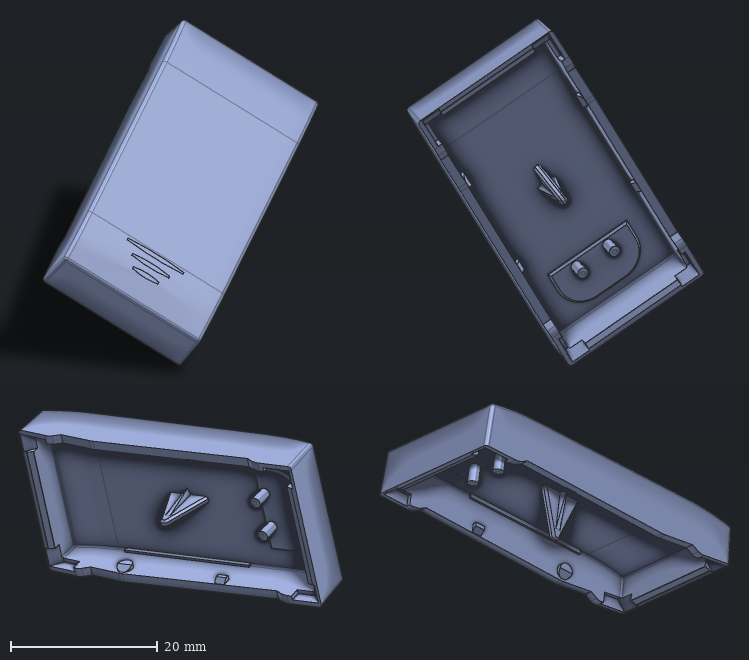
import cadquery as cq
import math

TILT_Y = 33.3
TILT_X = 20

TOP_Z = 4.5
FLAT_HALF_LENGTH = 13.7
ROOF_RADIUS = 38.7
ROOF_THICKNESS = 1.75
END_HALF_LENGTH = 22.3
END_DRAFT = 2.8
SIDE_HALF_WIDTH = 11.28
SIDE_DRAFT = 1.4
WALL_SIDE = 1.3
WALL_END = 1.55
OUTER_FILLET = 0.5
INNER_FILLET = 0.3
CEILING_Z = TOP_Z - ROOF_THICKNESS

RIM_Z = -3.35
REAR_RIM_Z = -2.35
REAR_RIM_SLOPE = 0.13
REAR_DIP_START = (17.65, -2.95)
REAR_DIP_BOTTOM = (17.1, -3.0)
REAR_DIP_END = (16.45, -2.9)
REAR_CREST = (15.35, -2.3)
MIDDLE_BEND_START = (10.47, -2.93)
MIDDLE_BEND_CENTRE = (10.15, -2.95)
MIDDLE_BEND_END = (9.8, -2.95)
FRONT_CREST = (-14.85, -2.55)
FRONT_BEND_START = (-15.8, -3.05)
FRONT_BEND_CENTRE = (-16.35, -3.25)
FRONT_BEND_END_Y = -17

POCKET_DEPTH = 1.65
REAR_POCKET_DEPTH = 1.35
POCKET_START = 17.7
POCKET_KNEE = 20.5
POCKET_TOE = 21.9
REAR_POCKET_TOE = 22.1
POCKET_INNER_X = 7.75
POCKET_OUTER_X = 10.55
RIM_CHAMFER_START = 20.75
RIM_CHAMFER_END = 21.6
RIM_CHAMFER_HEIGHT = 0.3

LEDGE_FRONT_Y = -7.7
LEDGE_REAR_Y = 12.35
LEDGE_HEIGHT = 0.6
LEDGE_WIDTH = 0.45

BUMP_HEIGHT = 0.65
ROUND_BUMP_Y = 10.15
ROUND_BUMP_Z = -1.55
ROUND_BUMP_DIAMETER = 2.2
BLOCK_BUMP_Y = -5.6
BLOCK_BUMP_WIDTH = 1.55
BLOCK_BUMP_TOP_Z = -1.27
BLOCK_BUMP_CREASE_Z = -1.85
BUMP_FOOT_Z = -2.65

BLADE_Y = 0.15
BLADE_HALF_WIDTH = 3.2
BLADE_HALF_THICKNESS = 0.55
BLADE_TIP_Z = -4.5
BLADE_TIP_HALF_WIDTH = 0.75
BLADE_CHAMFER = 0.35
RIB_WIDTH = 0.75
RIB_CREST_WIDTH = 0.15
RIB_HEIGHT = 0.95
RIB_TIP_Z = -2.93

GUIDE_FRONT_Y = -18.95
GUIDE_REAR_Y = -11.75
GUIDE_HALF_WIDTH = 6.6
GUIDE_CORNER = 4.25
GUIDE_THICKNESS = 0.45
GUIDE_CHAMFER = 0.35
PIN_DIAMETER = 1.5
PIN_Y = -12.97
PIN_X = 2.65
PIN_TIP_Z = -0.5
PIN_TAPER_LENGTH = 0.42
PIN_TAPER = 0.1
LENS_FIRST_Y = -14.3
LENS_PITCH = 1.7
LENS_LENGTHS = [9.05, 6.0, 4.1]
LENS_WIDTH = 0.75
LENS_END_WIDTH = 0.3

FULL_SPAN = 47.2
CLEARANCE = 0.45
CAVITY_FLOOR_Z = RIM_Z - CLEARANCE


def end_y(z, rim_half_length):
    """Length position at height z of a drafted end wall that starts at the rim."""
    return rim_half_length - (z - RIM_Z) * math.tan(math.radians(END_DRAFT))


def roof_arc(radius, flat_z, rim_half_length):
    """Middle and end points of the arc by which the roof falls from its flat part to an end wall."""
    last_y = end_y(flat_z, rim_half_length)
    middle_y = (FLAT_HALF_LENGTH + last_y) / 2

    def point(y):
        run = y - FLAT_HALF_LENGTH
        return (y, flat_z - radius + math.sqrt(radius**2 - run**2))

    return point(middle_y), point(last_y)


def across_width(profile, width=FULL_SPAN):
    """Close a length-height profile and extrude it symmetrically across the width."""
    return profile.close().extrude(width / 2, both=True)


def side_limits(rim_half_width, bottom_z):
    """Long prism with drafted sides; the half width applies at the rim."""
    top_z = TOP_Z + CLEARANCE
    lean = math.tan(math.radians(SIDE_DRAFT))
    bottom_x = rim_half_width - (bottom_z - RIM_Z) * lean
    top_x = rim_half_width - (top_z - RIM_Z) * lean
    return (
        cq.Workplane("XZ")
        .polyline([(-bottom_x, bottom_z), (bottom_x, bottom_z), (top_x, top_z), (-top_x, top_z)])
        .close()
        .extrude(FULL_SPAN, both=True)
    )


def round_wall_edges(block, radius):
    """Fillet all edges of the two side walls and two end walls except those at the bottom."""
    walls = block.faces("<X or >X or <Y or >Y")
    return block.newObject(walls.edges("not(<Z)").vals()).fillet(radius)


def outer_block():
    """Outer shape of the housing with a level rim."""
    middle, end = roof_arc(ROOF_RADIUS, TOP_Z, END_HALF_LENGTH)
    profile = (
        cq.Workplane("YZ")
        .moveTo(-FLAT_HALF_LENGTH, TOP_Z)
        .lineTo(FLAT_HALF_LENGTH, TOP_Z)
        .threePointArc(middle, end)
        .lineTo(END_HALF_LENGTH, RIM_Z)
        .lineTo(-END_HALF_LENGTH, RIM_Z)
        .lineTo(-end[0], end[1])
        .threePointArc((-middle[0], middle[1]), (-FLAT_HALF_LENGTH, TOP_Z))
    )
    solid_block = across_width(profile).intersect(side_limits(SIDE_HALF_WIDTH, RIM_Z))
    return round_wall_edges(solid_block, OUTER_FILLET)


def cavity():
    """Hollow of the housing: flat ceiling at the front, curved down at the rear."""
    inner_length = END_HALF_LENGTH - WALL_END
    middle, end = roof_arc(ROOF_RADIUS - ROOF_THICKNESS, CEILING_Z, inner_length)
    profile = (
        cq.Workplane("YZ")
        .moveTo(-end_y(CEILING_Z, inner_length), CEILING_Z)
        .lineTo(FLAT_HALF_LENGTH, CEILING_Z)
        .threePointArc(middle, end)
        .lineTo(end_y(CAVITY_FLOOR_Z, inner_length), CAVITY_FLOOR_Z)
        .lineTo(-end_y(CAVITY_FLOOR_Z, inner_length), CAVITY_FLOOR_Z)
    )
    hollow = across_width(profile).intersect(side_limits(SIDE_HALF_WIDTH - WALL_SIDE, CAVITY_FLOOR_Z))
    return round_wall_edges(hollow, INNER_FILLET)


def rim_waste():
    """Material below the wavy rim of the side walls."""
    profile = (
        cq.Workplane("YZ")
        .moveTo(FULL_SPAN, REAR_RIM_Z + (FULL_SPAN - END_HALF_LENGTH) * REAR_RIM_SLOPE)
        .lineTo(*REAR_DIP_START)
        .threePointArc(REAR_DIP_BOTTOM, REAR_DIP_END)
        .lineTo(*REAR_CREST)
        .lineTo(*MIDDLE_BEND_START)
        .threePointArc(MIDDLE_BEND_CENTRE, MIDDLE_BEND_END)
        .lineTo(*FRONT_CREST)
        .lineTo(*FRONT_BEND_START)
        .threePointArc(FRONT_BEND_CENTRE, (FRONT_BEND_END_Y, RIM_Z))
        .lineTo(FRONT_BEND_END_Y, -FULL_SPAN)
        .lineTo(FULL_SPAN, -FULL_SPAN)
    )
    return across_width(profile)


def corner_pockets():
    """Recesses at the four inner corners of the rim, each with a sloped floor at the end wall."""
    pockets = cq.Workplane()
    front = (-1, RIM_Z, 0, POCKET_DEPTH, POCKET_TOE)
    rear = (1, REAR_RIM_Z, REAR_RIM_SLOPE, REAR_POCKET_DEPTH, REAR_POCKET_TOE)
    for end, rim_z, slope, depth, toe in (front, rear):
        step_z = rim_z + depth
        profile = cq.Workplane("YZ").polyline([
            (end * POCKET_START, CAVITY_FLOOR_Z),
            (end * POCKET_START, step_z - (POCKET_KNEE - POCKET_START) * slope),
            (end * POCKET_KNEE, step_z),
            (end * toe, rim_z),
            (end * toe, CAVITY_FLOOR_Z),
        ])
        strip = across_width(profile, 2 * POCKET_OUTER_X)
        gap = cq.Workplane("XY").box(2 * POCKET_INNER_X, FULL_SPAN, FULL_SPAN)
        pockets = pockets.add(strip.cut(gap).vals())
    return pockets.combine()


def rim_chamfers():
    """Shallow bevels on the inner edge of both end walls."""
    bevels = cq.Workplane()
    for end, rim_z in ((-1, RIM_Z), (1, REAR_RIM_Z)):
        profile = cq.Workplane("YZ").polyline([
            (end * POCKET_START, rim_z + RIM_CHAMFER_HEIGHT),
            (end * RIM_CHAMFER_START, rim_z + RIM_CHAMFER_HEIGHT),
            (end * RIM_CHAMFER_END, rim_z),
            (end * RIM_CHAMFER_END, CAVITY_FLOOR_Z),
            (end * POCKET_START, CAVITY_FLOOR_Z),
        ])
        bevels = bevels.add(across_width(profile, 2 * POCKET_INNER_X).vals())
    return bevels.combine()


def wall_details():
    """Ledges and snap bumps on the two side walls, grown from inside the walls."""
    inner_x = SIDE_HALF_WIDTH - WALL_SIDE
    root_x = inner_x + WALL_SIDE / 2
    face_x = inner_x - BUMP_HEIGHT
    ledge = cq.Workplane("XY").box(
        root_x - inner_x + LEDGE_WIDTH, LEDGE_REAR_Y - LEDGE_FRONT_Y, 2 * LEDGE_HEIGHT
    ).translate(((root_x + inner_x - LEDGE_WIDTH) / 2, (LEDGE_REAR_Y + LEDGE_FRONT_Y) / 2, CEILING_Z))

    def ramp(crease_z, top_z, width, y):
        return (
            cq.Workplane("XZ", origin=(0, y + width / 2, 0))
            .polyline([
                (root_x, top_z),
                (face_x, top_z),
                (face_x, crease_z),
                (inner_x, BUMP_FOOT_Z),
                (root_x, BUMP_FOOT_Z),
            ])
            .close()
            .extrude(width)
        )

    block_bump = ramp(BLOCK_BUMP_CREASE_Z, BLOCK_BUMP_TOP_Z, BLOCK_BUMP_WIDTH, BLOCK_BUMP_Y)
    radius = ROUND_BUMP_DIAMETER / 2
    disc = (
        cq.Workplane("YZ", origin=(face_x, 0, 0))
        .center(ROUND_BUMP_Y, ROUND_BUMP_Z)
        .circle(radius)
        .extrude(root_x - face_x)
    )
    round_ramp = ramp(ROUND_BUMP_Z, ROUND_BUMP_Z + radius, ROUND_BUMP_DIAMETER, ROUND_BUMP_Y)
    round_bump = round_ramp.intersect(disc)
    one_side = ledge.union(block_bump).union(round_bump)
    return one_side.union(one_side.mirror("YZ"))


def blade():
    """Triangular blade hanging from the ceiling, with a tapering rib on each face."""
    root_z = CEILING_Z + ROOF_THICKNESS / 2
    slope = (BLADE_HALF_WIDTH - BLADE_TIP_HALF_WIDTH) / (CEILING_Z - BLADE_TIP_Z)
    root_half_width = BLADE_HALF_WIDTH + slope * (root_z - CEILING_Z)
    profile = (
        cq.Workplane("YZ", origin=(0, BLADE_Y, 0))
        .moveTo(-root_half_width, root_z)
        .lineTo(root_half_width, root_z)
        .lineTo(BLADE_TIP_HALF_WIDTH, BLADE_TIP_Z + BLADE_TIP_HALF_WIDTH)
        .threePointArc((0, BLADE_TIP_Z), (-BLADE_TIP_HALF_WIDTH, BLADE_TIP_Z + BLADE_TIP_HALF_WIDTH))
    )
    leaf = across_width(profile, 2 * BLADE_HALF_THICKNESS)
    leaf = leaf.faces("<X or >X").edges("not(>Z)").chamfer(BLADE_CHAMFER)
    rib_x = BLADE_HALF_THICKNESS + RIB_HEIGHT
    rib = (
        cq.Workplane("XZ", origin=(0, BLADE_Y + RIB_WIDTH / 2, 0))
        .polyline([
            (-rib_x, root_z),
            (-rib_x, CEILING_Z),
            (-BLADE_HALF_THICKNESS, RIB_TIP_Z),
            (BLADE_HALF_THICKNESS, RIB_TIP_Z),
            (rib_x, CEILING_Z),
            (rib_x, root_z),
        ])
        .close()
        .extrude(RIB_WIDTH)
    )
    rib_section = (
        cq.Workplane("XY", origin=(0, BLADE_Y, RIB_TIP_Z))
        .polyline([
            (-rib_x, -RIB_CREST_WIDTH / 2),
            (-BLADE_HALF_THICKNESS, -RIB_WIDTH / 2),
            (BLADE_HALF_THICKNESS, -RIB_WIDTH / 2),
            (rib_x, -RIB_CREST_WIDTH / 2),
            (rib_x, RIB_CREST_WIDTH / 2),
            (BLADE_HALF_THICKNESS, RIB_WIDTH / 2),
            (-BLADE_HALF_THICKNESS, RIB_WIDTH / 2),
            (-rib_x, RIB_CREST_WIDTH / 2),
        ])
        .close()
        .extrude(root_z - RIB_TIP_Z)
    )
    return leaf.union(rib.intersect(rib_section))


def lenses(block):
    """Lens-shaped prisms that reach from the ceiling to the outer roof surface."""
    prisms = cq.Workplane()
    for index, length in enumerate(LENS_LENGTHS):
        y = LENS_FIRST_Y - index * LENS_PITCH
        prism = (
            cq.Workplane("XY", origin=(0, y, CEILING_Z))
            .moveTo(-length / 2, LENS_END_WIDTH / 2)
            .threePointArc((0, LENS_WIDTH / 2), (length / 2, LENS_END_WIDTH / 2))
            .lineTo(length / 2, -LENS_END_WIDTH / 2)
            .threePointArc((0, -LENS_WIDTH / 2), (-length / 2, -LENS_END_WIDTH / 2))
            .close()
            .extrude(2 * ROOF_THICKNESS)
        )
        prisms = prisms.add(prism.intersect(block).vals())
    return prisms.combine()


def light_guide(lens_prisms):
    """Plate under the ceiling with two pins below it and three lenses above it."""
    plate_length = GUIDE_REAR_Y - GUIDE_FRONT_Y
    plate = (
        cq.Workplane("XY", origin=(0, (GUIDE_REAR_Y + GUIDE_FRONT_Y) / 2, CEILING_Z))
        .rect(2 * GUIDE_HALF_WIDTH, plate_length)
        .extrude(-GUIDE_THICKNESS)
    )
    plate = plate.edges("|Z and <Y").fillet(GUIDE_CORNER)
    plate = plate.faces("<Z").chamfer(GUIDE_CHAMFER)
    pins = (
        cq.Workplane(cq.Plane(origin=(0, PIN_Y, CEILING_Z), xDir=(-1, 0, 0), normal=(0, 0, -1)))
        .pushPoints([(-PIN_X, 0), (PIN_X, 0)])
        .circle(PIN_DIAMETER / 2)
        .extrude(CEILING_Z - PIN_TIP_Z)
        .faces("<Z")
        .chamfer(PIN_TAPER, PIN_TAPER_LENGTH)
    )
    return plate.union(pins).union(lens_prisms)


def housing(block, lens_prisms):
    """Hollow cover with wavy rim, corner pockets, wall details and blade."""
    shell = block.cut(cavity())
    shell = shell.union(wall_details())
    shell = shell.cut(rim_waste())
    shell = shell.cut(corner_pockets()).cut(rim_chamfers())
    return shell.union(blade()).cut(lens_prisms)


def tilted(body):
    """Turn a body from the local frame of the cover into its final attitude."""
    return body.rotate((0, 0, 0), (0, 1, 0), TILT_Y).rotate((0, 0, 0), (1, 0, 0), TILT_X)


block = outer_block()
lens_prisms = lenses(block)
cover = tilted(housing(block, lens_prisms))
guide = tilted(light_guide(lens_prisms))

result = cq.Compound.makeCompound([cover.val(), guide.val()])